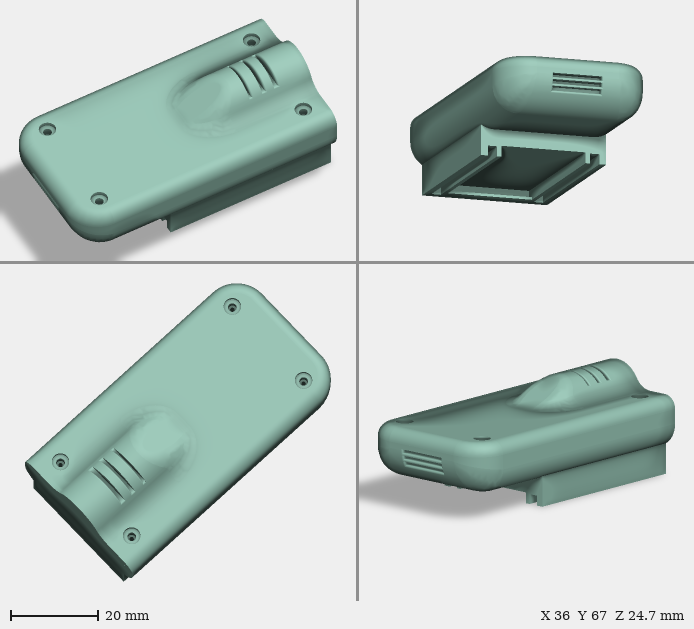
import cadquery as cq
LENGTH = 67
WIDTH = 36.0
PLAN_CORNER_RADIUS = 8.05
TOL = 0.01
MARGIN = 3.35

BASE_BOTTOM = 6.3
SEAM = 15.8
LID_TOP = 18.8
HUMP_TOP = 24.7
LID_EDGE_RADIUS = LID_TOP - SEAM

SIDE_RADIUS = 6

MOUNT_WIDTH = 30.35
MOUNT_LENGTH = 42.4
MOUNT_FRONT = LENGTH - MOUNT_LENGTH
MOUNT_BACK_WALL = 2
GROOVE_WIDTH = 2.3
GROOVE_HEIGHT = 2.35
GROOVE_OFFSET = 12.4
RECESS_WIDTH = 20.4
RECESS_HEIGHT = 2.55
SILL_HEIGHT = 0.6
SILL_SETBACK = 2

HUMP_RADIUS = 7.1
HUMP_AXIS = HUMP_TOP - HUMP_RADIUS
RAMP_TOE = 35.2
RAMP_CREST = 47.1
RAMP_BLEND = 4.2
HUMP_FOOT_BLEND = 4.75

HUMP_SLOTS = [(57.5, 1.1), (54.35, 0.9), (51.0, 0.6)]
HUMP_SLOT_FLOOR = 22.1
LIP_RADIUS = 0.4

GRILLE_COUNT = 3
GRILLE_TOP = 14.6
GRILLE_PITCH = 1.5
GRILLE_GAP = 0.9
GRILLE_WIDTH = 11.8
GRILLE_DEPTH = 2

SCREW_OFFSET = 12.0
SCREW_ROWS = [7.5, 61.5]
SCREW_HEAD_DIAMETER = 4
SCREW_HEAD_DEPTH = 1.0
SCREW_CLEARANCE_DIAMETER = 2
SCREW_PILOT_DIAMETER = 1.0
SCREW_PILOT_DEPTH = 4


def block(width, y_start, y_end, z_start, z_end, x_centre=0):
    """Box centred on x_centre between the given Y and Z limits."""
    size = (width, y_end - y_start, z_end - z_start)
    return cq.Workplane("XY").box(*size, centered=(True, False, False)).translate((x_centre, y_start, z_start))


def screw_cylinders(diameter, z_start, z_end):
    points = [(side * SCREW_OFFSET, y) for side in (-1, 1) for y in SCREW_ROWS]
    return (
        cq.Workplane("XY", origin=(0, 0, z_start)).pushPoints(points)
        .circle(diameter / 2).extrude(z_end - z_start)
    )


def lid_slab():
    """Flat lid with rounded front corners and a rounded rim on all sides but the back."""
    slab = block(WIDTH, 0, LENGTH, SEAM - MARGIN, LID_TOP)
    slab = slab.edges("|Z and <Y").fillet(PLAN_CORNER_RADIUS)
    slab = slab.faces("<Y").edges(">Z").fillet(LID_EDGE_RADIUS)
    return slab.cut(block(WIDTH, 0, LENGTH, SEAM - MARGIN, SEAM))


def hump_core():
    """Upper part of a cylinder, cut off by a sloping ramp whose edge is blended."""
    cylinder = (
        cq.Workplane("XZ", origin=(0, LENGTH, HUMP_AXIS))
        .circle(HUMP_RADIUS).extrude(LENGTH - RAMP_TOE)
    )
    under_ramp = (
        cq.Workplane("YZ")
        .polyline([(RAMP_TOE, LID_TOP), (RAMP_CREST, HUMP_TOP), (LENGTH, HUMP_TOP), (LENGTH, LID_TOP)])
        .close().extrude(HUMP_RADIUS, both=True)
    )
    return cylinder.intersect(under_ramp).edges("%ELLIPSE").fillet(RAMP_BLEND)


def add_hump(lid):
    """Hump joined to the lid by a hollow blend along its foot."""
    lid = lid.union(hump_core())
    foot_zone = cq.selectors.BoxSelector(
        (-HUMP_RADIUS, RAMP_TOE - LIP_RADIUS, LID_TOP - LIP_RADIUS),
        (HUMP_RADIUS, LENGTH + LIP_RADIUS, LID_TOP + LIP_RADIUS),
        boundingbox=True,
    )
    foot = lid.edges(foot_zone).filter(lambda edge: edge.Center().y < LENGTH - LIP_RADIUS)
    return foot.fillet(HUMP_FOOT_BLEND)


def cut_hump_slots(lid):
    """Slots across the hump, each with a rounded lip on its back wall and at both ends."""
    for front, gap in HUMP_SLOTS:
        back = front + gap
        lid = lid.cut(block(2 * HUMP_RADIUS, front, back, HUMP_SLOT_FLOOR, HUMP_TOP + MARGIN))
        slot_zone = cq.selectors.BoxSelector(
            (-HUMP_RADIUS, front - TOL, HUMP_SLOT_FLOOR - TOL), (HUMP_RADIUS, back + TOL, HUMP_TOP + TOL),
            boundingbox=True,
        )
        edges = lid.edges(slot_zone)
        ends = edges.edges("|Y")
        back_rim = edges.edges(">Y").filter(lambda edge: edge.geomType() != "LINE")
        lid = back_rim.add(ends).fillet(LIP_RADIUS)
    return lid


def make_lid():
    lid = cut_hump_slots(add_hump(lid_slab()))
    lid = lid.cut(screw_cylinders(SCREW_HEAD_DIAMETER, LID_TOP - SCREW_HEAD_DEPTH, LID_TOP + MARGIN))
    return lid.cut(screw_cylinders(SCREW_CLEARANCE_DIAMETER, SEAM, LID_TOP))


def base_shell():
    """Base with rounded lower sides; one rounding runs round the front end and up its corners."""
    shell = block(WIDTH, 0, LENGTH, BASE_BOTTOM, SEAM)
    shell = shell.edges("|Y and <Z").fillet(SIDE_RADIUS)
    return shell.faces("<Y").edges("<Z").fillet(PLAN_CORNER_RADIUS)


def mount_block():
    """Mount reaching up into the base so that its sides meet the rounded underside."""
    mount = block(MOUNT_WIDTH, MOUNT_FRONT, LENGTH, 0, BASE_BOTTOM + SIDE_RADIUS)
    groove_back = LENGTH - MOUNT_BACK_WALL
    for side in (-1, 1):
        groove = block(GROOVE_WIDTH, MOUNT_FRONT, groove_back, 0, GROOVE_HEIGHT, side * GROOVE_OFFSET)
        mount = mount.cut(groove)
    mount = mount.cut(block(RECESS_WIDTH, MOUNT_FRONT, groove_back, SILL_HEIGHT, RECESS_HEIGHT))
    return mount.cut(block(RECESS_WIDTH, MOUNT_FRONT, groove_back - SILL_SETBACK, 0, SILL_HEIGHT))


def cut_grille(base):
    """Level slots in the front end, each with a rounded lip along its lower edge and at both ends."""
    for index in range(GRILLE_COUNT):
        top = GRILLE_TOP - index * GRILLE_PITCH
        bottom = top - GRILLE_GAP
        base = base.cut(block(GRILLE_WIDTH, -MARGIN, GRILLE_DEPTH, bottom, top))
        slot_zone = cq.selectors.BoxSelector(
            (-GRILLE_WIDTH, -TOL, bottom - TOL), (GRILLE_WIDTH, GRILLE_DEPTH - TOL, top + TOL),
            boundingbox=True,
        )
        rim = base.edges(slot_zone)
        ends = rim.filter(
            lambda edge: abs(edge.Center().x) > TOL and bottom + TOL < edge.Center().z < top - TOL
        )
        base = rim.edges("<Z").edges("|X").add(ends).fillet(LIP_RADIUS)
    return base


def make_base():
    base = cut_grille(base_shell()).union(mount_block())
    return base.cut(screw_cylinders(SCREW_PILOT_DIAMETER, SEAM - SCREW_PILOT_DEPTH, SEAM))


lid = make_lid()
base = make_base()
result = cq.Compound.makeCompound([lid.val(), base.val()])